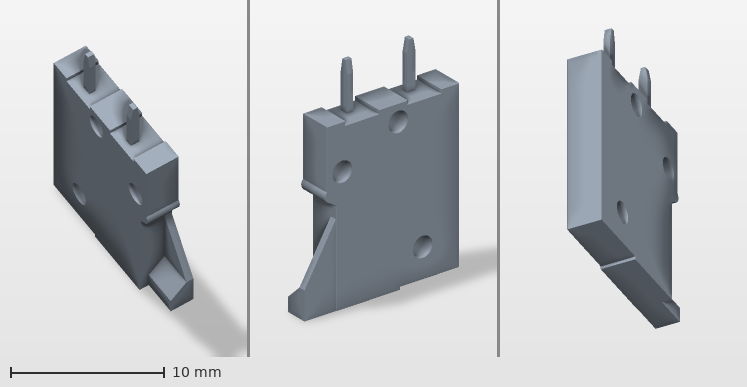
import cadquery as cq

depth = 2.55
case_top = 13.6
case_right = 10.82
lower_right = 10.04
bottom_step = 0.22
bottom_step_end = 4.8
back_chamfer = 0.03

bump_top_z = 8.85
bump_tip = (10.98, 8.55)
bump_arc_end = (10.62, 8.0)
bump_root_z = 7.63

recess_depth = 0.3
recess_width = 2.72
recess_starts = (1.5, 6.58)

hole_diameter = 1.6
hole_centres = ((5.0, 12.25), (9.56, 9.99), (3.0, 2.58))

pin_wide = 0.68
pin_thin = 0.5
pin_tip_wide = 0.32
pin_taper = 0.97
pin_top = 17.1
pin_y = 0.9
pin_x_left = 2.85
pin_x_right = 7.93

foot_right = 12.6
foot_slope_top_z = 6.67
foot_slope_end_z = 2.25
foot_front_y = 0.72
foot_ledge_y = 1.95
foot_back_y = 2.5
foot_bevel_low_z = 1.11
foot_overlap = 0.17


def extrude_back(outline, length):
    """Extrude an XZ outline from y = 0 toward +Y."""
    return outline.extrude(-length)


def make_case():
    outline = (
        cq.Workplane("XZ")
        .moveTo(0, bottom_step)
        .lineTo(bottom_step_end, bottom_step)
        .lineTo(bottom_step_end, 0)
        .lineTo(lower_right, 0)
        .lineTo(lower_right, bump_root_z)
        .lineTo(*bump_arc_end)
        .threePointArc(bump_tip, (case_right, bump_top_z))
        .lineTo(case_right, case_top)
        .lineTo(0, case_top)
        .close()
    )
    case = extrude_back(outline, depth)
    for start in recess_starts:
        recess = cq.Workplane("XY").box(recess_width, depth, recess_depth, centered=False)
        case = case.cut(recess.translate((start, 0, case_top - recess_depth)))
    case = case.faces(">Y").edges().chamfer(back_chamfer)
    holes = cq.Workplane("XZ").pushPoints(hole_centres).circle(hole_diameter / 2)
    return case.cut(extrude_back(holes, depth))


def make_pin():
    """Pin centred on the Z axis, its wide side along X."""
    base_z = case_top - recess_depth
    shoulder_z = pin_top - pin_taper
    outline = (
        cq.Workplane("XZ")
        .moveTo(-pin_wide / 2, base_z)
        .lineTo(pin_wide / 2, base_z)
        .lineTo(pin_wide / 2, shoulder_z)
        .lineTo(pin_tip_wide / 2, pin_top)
        .lineTo(-pin_tip_wide / 2, pin_top)
        .lineTo(-pin_wide / 2, shoulder_z)
        .close()
    )
    return outline.extrude(pin_thin / 2, both=True)


def make_foot():
    """Bevelled YZ section, trimmed by the sloping upper edge."""
    foot_left = lower_right - foot_overlap
    section = (
        cq.Workplane("YZ", origin=(foot_left, 0, 0))
        .moveTo(foot_front_y, 0)
        .lineTo(foot_back_y, 0)
        .lineTo(foot_back_y, foot_slope_top_z)
        .lineTo(foot_ledge_y, foot_slope_top_z)
        .lineTo(foot_ledge_y, foot_slope_end_z)
        .lineTo(foot_front_y, foot_bevel_low_z)
        .close()
        .extrude(foot_right - foot_left)
    )
    side = (
        cq.Workplane("XZ")
        .moveTo(foot_left, 0)
        .lineTo(foot_right, 0)
        .lineTo(foot_right, foot_slope_end_z)
        .lineTo(lower_right, foot_slope_top_z)
        .lineTo(foot_left, foot_slope_top_z)
        .close()
    )
    return section.intersect(extrude_back(side, depth))


left_pin = make_pin().translate((pin_x_left, pin_y, 0))
right_pin = make_pin().rotate((0, 0, 0), (0, 0, 1), 90).translate((pin_x_right, pin_y, 0))

result = make_case().union(make_foot()).union(left_pin).union(right_pin)